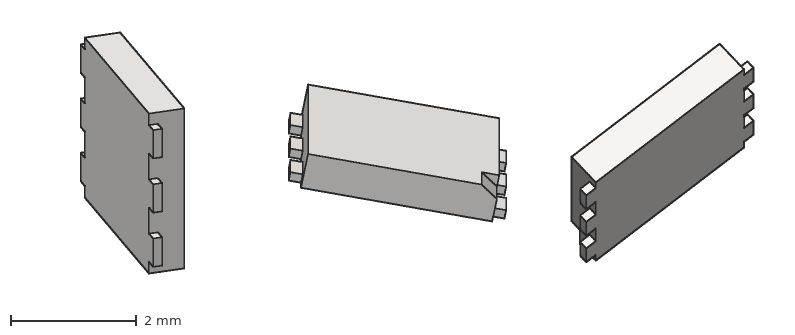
import cadquery as cq

overall_width = 3.5
depth = 0.6
height = 2.8

lead_length = 0.2
lead_thickness = 0.15
lead_height = 0.497
lead_pitch = 0.95
leads_per_side = 3

mark_width = 0.287
mark_depth = 0.2
mark_height = 0.5

body_width = overall_width - 2 * lead_length


def make_body():
    """Plain block centred in X and Z, with its front face at Y = 0."""
    return cq.Workplane("XY").box(body_width, depth, height, centered=(True, False, True))


def make_lead_row(z):
    """One opposed pair of terminals, as a bar running through the body."""
    bar = cq.Workplane("XY").box(
        overall_width, lead_thickness, lead_height, centered=(True, False, True)
    )
    return bar.translate((0, 0, z))


def make_corner_mark():
    """Triangular prism that bevels the lower end of the rear -X edge."""
    edge_x = -body_width / 2
    return (
        cq.Workplane("XY", origin=(0, 0, -height / 2))
        .moveTo(edge_x, depth)
        .lineTo(edge_x + mark_width, depth)
        .lineTo(edge_x, depth - mark_depth)
        .close()
        .extrude(mark_height)
    )


result = make_body()
for row in range(leads_per_side):
    row_z = (row - (leads_per_side - 1) / 2) * lead_pitch
    result = result.union(make_lead_row(row_z))
result = result.cut(make_corner_mark())